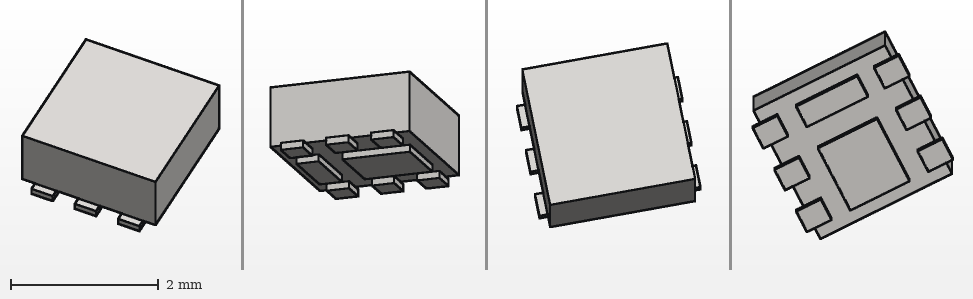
import cadquery as cq

body_side = 2.0
body_height = 0.85

plate_thickness = 0.1

leads_per_side = 3
lead_pitch = 0.65
lead_width = 0.32
lead_length = 0.375
lead_overhang = 0.11
lead_tip_y = body_side / 2 + lead_overhang
lead_center_y = lead_tip_y - lead_length / 2

main_pad_x_min = -lead_pitch - lead_width / 2
main_pad_x_max = lead_width / 2
main_pad_y_max = 0.45
main_pad_y_min = -main_pad_y_max

side_pad_x_min = lead_pitch - lead_width / 2
side_pad_x_max = lead_pitch + lead_width / 2
side_pad_y_max = 0.48
side_pad_y_min = main_pad_y_min


def plate(x_min, x_max, y_min, y_max):
    """Flat plate under the body, given by its X and Y limits."""
    return (
        cq.Workplane("XY")
        .center((x_min + x_max) / 2, (y_min + y_max) / 2)
        .rect(x_max - x_min, y_max - y_min)
        .extrude(plate_thickness)
    )


def lead(center_x, center_y):
    """One lead, centred at the given place."""
    return plate(
        center_x - lead_width / 2,
        center_x + lead_width / 2,
        center_y - lead_length / 2,
        center_y + lead_length / 2,
    )


body = (
    cq.Workplane("XY")
    .workplane(offset=plate_thickness)
    .rect(body_side, body_side)
    .extrude(body_height)
)

main_pad = plate(main_pad_x_min, main_pad_x_max, main_pad_y_min, main_pad_y_max)
side_pad = plate(side_pad_x_min, side_pad_x_max, side_pad_y_min, side_pad_y_max)

leads = []
for row_y in (-lead_center_y, lead_center_y):
    for index in range(leads_per_side):
        lead_x = (index - (leads_per_side - 1) / 2) * lead_pitch
        leads.append(lead(lead_x, row_y).val())

result = cq.Compound.makeCompound([body.val(), main_pad.val(), side_pad.val(), *leads])